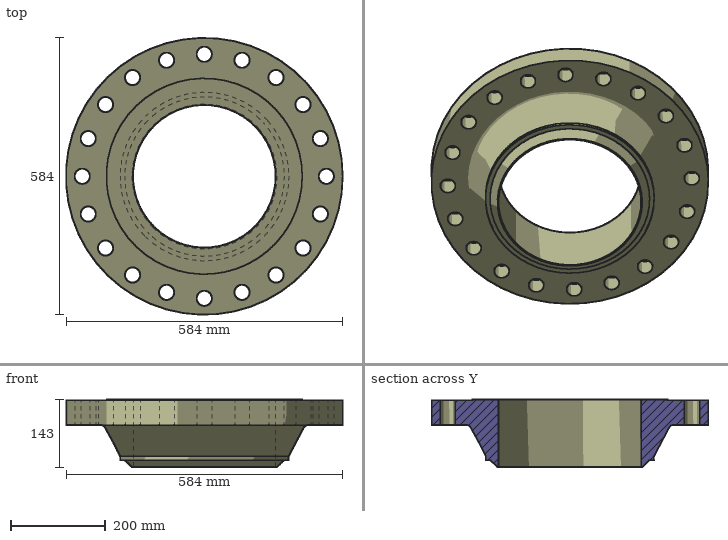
import cadquery as cq

flange_diameter = 584.0
total_height = 143.0
bore_diameter = 300.0

face_diameter = 413.0
face_height = 2.0
flange_thickness = 52.5

bolt_count = 20
bolt_circle_diameter = 514.5
bolt_hole_diameter = 31.5

hub_diameter = 425.5
hub_fillet_radius = 9.5
pipe_diameter = 356.0
collar_height = 8.0
bevel_height = 14.5
bevel_diameter = 336.5
weld_end_diameter = 305.5

collar_bottom = bevel_height
collar_top = collar_bottom + collar_height
flange_top = total_height - face_height
flange_bottom = flange_top - flange_thickness


def make_body():
    """Revolve the radial section about Z, leaving the bore open."""
    section = [
        (bore_diameter / 2, 0),
        (weld_end_diameter / 2, 0),
        (bevel_diameter / 2, collar_bottom),
        (pipe_diameter / 2, collar_bottom),
        (pipe_diameter / 2, collar_top),
        (hub_diameter / 2, flange_bottom),
        (flange_diameter / 2, flange_bottom),
        (flange_diameter / 2, flange_top),
        (face_diameter / 2, flange_top),
        (face_diameter / 2, total_height),
        (bore_diameter / 2, total_height),
    ]
    body = cq.Workplane("XZ").polyline(section).close().revolve(360, (0, 0), (0, 1))
    hub_root = cq.selectors.RadiusNthSelector(-2)
    return body.edges("%CIRCLE").edges(hub_root).fillet(hub_fillet_radius)


def make_bolt_holes():
    """Cylinders on the bolt circle, passing through the flange disc."""
    return (
        cq.Workplane("XY")
        .workplane(offset=flange_bottom)
        .polarArray(bolt_circle_diameter / 2, 0, 360, bolt_count)
        .circle(bolt_hole_diameter / 2)
        .extrude(flange_thickness)
    )


result = make_body().cut(make_bolt_holes())